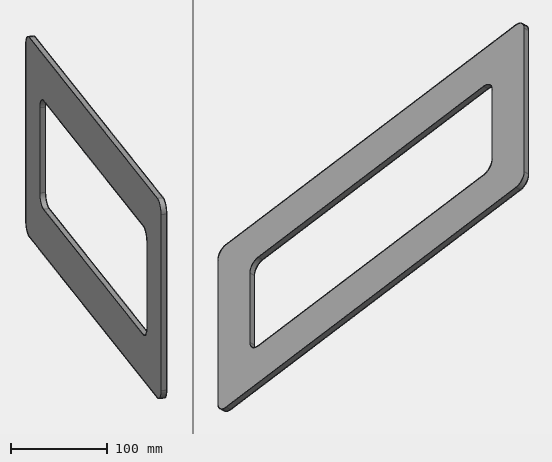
import cadquery as cq

length = 482.5
height = 222.5
thickness = 6.5
border = 50.5
outer_corner_radius = 13.0
opening_corner_radius = 13.0


def rounded_plate(plate_length, plate_height, corner_radius):
    """Plate centred on the origin, with its four corners rounded."""
    plate = cq.Workplane("XY").box(plate_length, thickness, plate_height)
    return plate.edges("|Y").fillet(corner_radius)


outer_plate = rounded_plate(length, height, outer_corner_radius)
opening = rounded_plate(length - 2 * border, height - 2 * border, opening_corner_radius)

result = outer_plate.cut(opening)